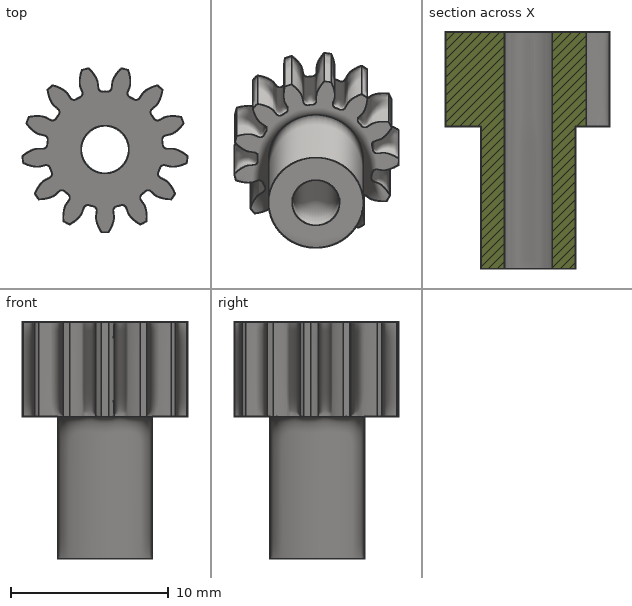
import cadquery as cq
import math

tooth_count = 13
module = 0.7
pressure_angle = math.radians(20)
gear_width = 6.0
addendum = module
dedendum = 1.25 * module
root_fillet = 0.38 * module
first_tooth_angle = -math.pi / 2
flank_points = 7

shaft_diameter = 6.0
shaft_length = 9.0
bore_diameter = 3.0

pitch_radius = module * tooth_count / 2
base_radius = pitch_radius * math.cos(pressure_angle)
tip_radius = pitch_radius + addendum
root_radius = pitch_radius - dedendum
tooth_pitch = 2 * math.pi / tooth_count
total_length = shaft_length + gear_width


def involute(angle):
    """Polar angle swept by an involute up to the given pressure angle."""
    return math.tan(angle) - angle


def half_angle(radius):
    """Half of the angle a tooth spans at a radius on its involute flank."""
    angle = math.acos(base_radius / radius)
    return tooth_pitch / 4 + involute(pressure_angle) - involute(angle)


def polar(radius, angle):
    return (radius * math.cos(angle), radius * math.sin(angle))


base_half_angle = half_angle(base_radius)
fillet_centre_radius = root_radius + root_fillet
fillet_angle = math.asin(root_fillet / fillet_centre_radius)
fillet_top_radius = fillet_centre_radius * math.cos(fillet_angle)
root_half_angle = base_half_angle + fillet_angle


def flank(centre_angle, side):
    """Involute points from base circle to tip; side is -1 or +1 about the tooth centre."""
    step = (tip_radius - base_radius) / (flank_points - 1)
    radii = [base_radius + i * step for i in range(flank_points)]
    return [polar(r, centre_angle + side * half_angle(r)) for r in radii]


def add_tooth(outline, centre):
    """Continue the outline counter-clockwise over one tooth and the root after it."""
    rising = flank(centre, -1)
    falling = flank(centre, 1)[::-1]
    next_root_start = centre + tooth_pitch - root_half_angle
    return (
        outline
        .radiusArc(polar(fillet_top_radius, centre - base_half_angle), root_fillet)
        .lineTo(*rising[0])
        .spline(rising[1:], includeCurrent=True)
        .threePointArc(polar(tip_radius, centre), falling[0])
        .spline(falling[1:], includeCurrent=True)
        .lineTo(*polar(fillet_top_radius, centre + base_half_angle))
        .radiusArc(polar(root_radius, centre + root_half_angle), root_fillet)
        .threePointArc(
            polar(root_radius, centre + tooth_pitch / 2),
            polar(root_radius, next_root_start),
        )
    )


def make_gear():
    start = polar(root_radius, first_tooth_angle - root_half_angle)
    outline = cq.Workplane("XY").workplane(offset=shaft_length).moveTo(*start)
    for i in range(tooth_count):
        outline = add_tooth(outline, first_tooth_angle + i * tooth_pitch)
    return outline.close().extrude(gear_width)


def make_shaft():
    return cq.Workplane("XY").circle(shaft_diameter / 2).extrude(shaft_length)


def make_bore():
    return cq.Workplane("XY").circle(bore_diameter / 2).extrude(total_length)


result = make_gear().union(make_shaft()).cut(make_bore())